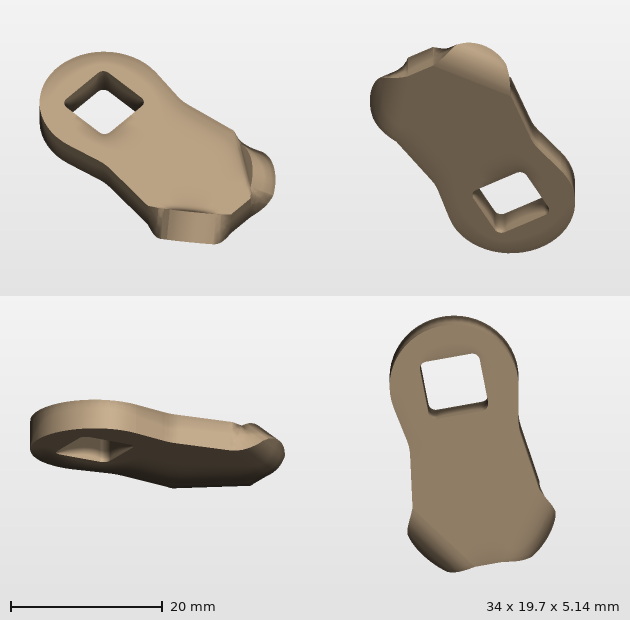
import cadquery as cq
import math

THICKNESS = 4.0
HEAD_RADIUS = 8.5
HOLE_SIZE = 8.0
HOLE_CORNER_RADIUS = 1.0
NECK_X = 7.25
NECK_HALF_WIDTH = 7.29
NECK_RADIUS = 6.0
TIP_X = 25.0
TIP_HALF_WIDTH = 1.85
UPPER_SHOULDER = (15.58, 8.47)
LOWER_SHOULDER = (16.08, -8.42)

BEND_ANGLE = 50.0
BEND_INNER_RADIUS = 0.45
BEND_OUTER_RADIUS = BEND_INNER_RADIUS + THICKNESS
TAB_LENGTH = 1.275
BEND_CREASE_ANGLE = 35.0
CREASE_INSET_SHARE = 0.66
INNER_OVERREACH = 0.3
OUTER_OVERREACH = 2.0
UPPER_TAB_INSETS = (2.4, 1.76)
LOWER_TAB_INSETS = (1.93, 2.2)
LOWER_TAB_FLANK = (0.83, 0.65)
NO_FLANK = (0.0, 0.0)


def plate():
    """Round head narrowing to a neck, then a wider body with two slanted edges and a flat tip."""
    neck_distance = math.hypot(NECK_X, NECK_HALF_WIDTH)
    tangent_angle = math.atan2(NECK_HALF_WIDTH, NECK_X) + math.acos(HEAD_RADIUS / neck_distance)
    tangent_x = HEAD_RADIUS * math.cos(tangent_angle)
    tangent_y = HEAD_RADIUS * math.sin(tangent_angle)
    body = (
        cq.Workplane("XY")
        .moveTo(tangent_x, tangent_y)
        .lineTo(NECK_X, NECK_HALF_WIDTH)
        .lineTo(*UPPER_SHOULDER)
        .lineTo(TIP_X, TIP_HALF_WIDTH)
        .lineTo(TIP_X, -TIP_HALF_WIDTH)
        .lineTo(*LOWER_SHOULDER)
        .lineTo(NECK_X, -NECK_HALF_WIDTH)
        .lineTo(tangent_x, -tangent_y)
        .threePointArc((-HEAD_RADIUS, 0), (tangent_x, tangent_y))
        .close()
        .extrude(THICKNESS)
    )
    neck_points = [(NECK_X, side * NECK_HALF_WIDTH, THICKNESS / 2) for side in (-1, 1)]
    for point in neck_points:
        body = body.edges(cq.selectors.NearestToPointSelector(point)).fillet(NECK_RADIUS)
    hole = (
        cq.Workplane("XY")
        .rect(HOLE_SIZE, HOLE_SIZE)
        .extrude(THICKNESS)
        .edges("|Z")
        .fillet(HOLE_CORNER_RADIUS)
    )
    return body.cut(hole)


def bend(length, start_inset, end_inset):
    """Bent part of a tab: X runs along the slanted edge, Y points away from the plate."""
    axis_height = THICKNESS + BEND_INNER_RADIUS
    ring_sector = (
        cq.Workplane("XZ")
        .rect(length, THICKNESS, centered=False)
        .revolve(BEND_ANGLE, (0, axis_height), (1, axis_height))
    )
    inner_reach = BEND_INNER_RADIUS - INNER_OVERREACH
    outer_reach = BEND_OUTER_RADIUS + OUTER_OVERREACH
    stations = (
        (0.0, 0.0),
        (BEND_CREASE_ANGLE, CREASE_INSET_SHARE),
        (BEND_ANGLE, 1.0),
    )
    sections = []
    for angle, inset_share in stations:
        turn = math.radians(angle)
        plane = cq.Plane((0, 0, axis_height), (1, 0, 0), (0, math.cos(turn), math.sin(turn)))
        left = start_inset * inset_share
        right = length - end_inset * inset_share
        corners = [
            (left, inner_reach),
            (right, inner_reach),
            (right, outer_reach),
            (left, outer_reach),
        ]
        corners = [plane.toWorldCoords(corner) for corner in corners]
        sections.append(cq.Wire.makePolygon(corners, close=True))
    narrowing = cq.Solid.makeLoft(sections, True)
    return ring_sector.intersect(cq.Workplane(narrowing))


def tab_end(length, start_inset, end_inset, flank):
    """Straight part of a tab, with a rounded crown and, at its end, an optional straight flank."""
    turn = math.radians(BEND_ANGLE)
    outer_end = (
        0,
        BEND_OUTER_RADIUS * math.sin(turn),
        BEND_OUTER_RADIUS * (1 - math.cos(turn)),
    )
    plane = cq.Plane(outer_end, (1, 0, 0), (0, -math.sin(turn), math.cos(turn)))
    left = start_inset
    right = length - end_inset
    flank_run, flank_rise = flank
    outline = (
        cq.Workplane(plane)
        .moveTo(left, 0)
        .threePointArc(((left + right) / 2, TAB_LENGTH), (right - flank_run, flank_rise))
    )
    if flank_rise > 0:
        outline = outline.lineTo(right, 0)
    return outline.close().extrude(THICKNESS)


def tab(start, end, insets, flank):
    """Complete tab along the slanted edge that runs clockwise from start to end."""
    run_x = end[0] - start[0]
    run_y = end[1] - start[1]
    length = math.hypot(run_x, run_y)
    heading = math.degrees(math.atan2(run_y, run_x))
    shape = bend(length, *insets).union(tab_end(length, *insets, flank))
    return shape.rotate((0, 0, 0), (0, 0, 1), heading).translate((start[0], start[1], 0))


upper_tab = tab(UPPER_SHOULDER, (TIP_X, TIP_HALF_WIDTH), UPPER_TAB_INSETS, NO_FLANK)
lower_tab = tab((TIP_X, -TIP_HALF_WIDTH), LOWER_SHOULDER, LOWER_TAB_INSETS, LOWER_TAB_FLANK)
result = plate().union(upper_tab).union(lower_tab)